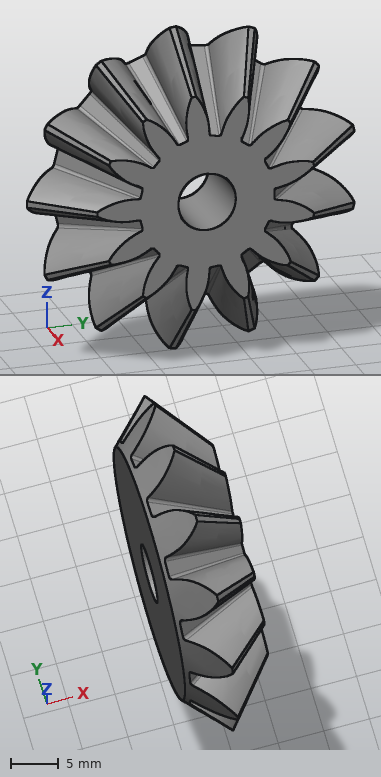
import cadquery as cq
import math

tooth_count = 13
gear_width = 9.55
back_radius = 13.8
tip_radius = 18.3
front_tip_radius = 12.12
apex_distance = 19.4
bore_radius = 3.15

tip_offset = tip_radius - back_radius

flank_points = [(14.85, 2.35), (16.75, 2.45), (18.75, 2.3), (20.55, 1.9), (22.5, 1.2), (24.4, 0.1)]
floor_distance = 14.65
fillet_width = 0.33

half_pitch = math.pi / tooth_count


def floor_radial(half_thickness):
    """Distance along the tooth centre line of a point on the adjoining gap floor."""
    return floor_distance / math.cos(half_pitch) - half_thickness * math.tan(half_pitch)


def gear_outline(x):
    """Closed toothed outline at x, shrinking linearly toward the apex."""
    scale = 1 - x / apex_distance

    root_radial, root_half = flank_points[0]
    floor_half = root_half + fillet_width
    floor_end = (floor_radial(floor_half), floor_half)
    corner = (floor_radial(root_half), root_half)
    chord_middle = ((root_radial + floor_end[0]) / 2, (root_half + floor_half) / 2)
    round_share = 2 - math.sqrt(2)
    fillet_middle = tuple(c + round_share * (m - c) for c, m in zip(corner, chord_middle))

    edges = []
    first_point = None
    previous_point = None
    for index in range(tooth_count):
        angle = 2 * half_pitch * index

        def place(point, side):
            radial, half = point
            across = side * half
            y = -radial * math.cos(angle) + across * math.sin(angle)
            z = radial * math.sin(angle) + across * math.cos(angle)
            return cq.Vector(x, y * scale, z * scale)

        start = place(floor_end, -1)
        end = place(floor_end, 1)
        rising = [place(point, -1) for point in flank_points]
        falling = [place(point, 1) for point in reversed(flank_points)]
        if previous_point is None:
            first_point = start
        else:
            edges.append(cq.Edge.makeLine(previous_point, start))
        edges.append(cq.Edge.makeThreePointArc(start, place(fillet_middle, -1), rising[0]))
        edges.append(cq.Edge.makeSpline(rising))
        edges.append(cq.Edge.makeLine(rising[-1], falling[0]))
        edges.append(cq.Edge.makeSpline(falling))
        edges.append(cq.Edge.makeThreePointArc(falling[-1], place(fillet_middle, 1), end))
        previous_point = end
    edges.append(cq.Edge.makeLine(previous_point, first_point))
    return cq.Wire.assembleEdges(edges)


blank = (
    cq.Workplane("XY")
    .polyline([
        (0, bore_radius),
        (0, back_radius),
        (tip_offset, tip_radius),
        (gear_width, front_tip_radius),
        (gear_width, bore_radius),
    ])
    .close()
    .revolve(360, (0, 0, 0), (1, 0, 0))
)

toothed_body = cq.Solid.makeLoft([gear_outline(0), gear_outline(gear_width)], True)
result = blank.intersect(cq.Workplane(obj=toothed_body))